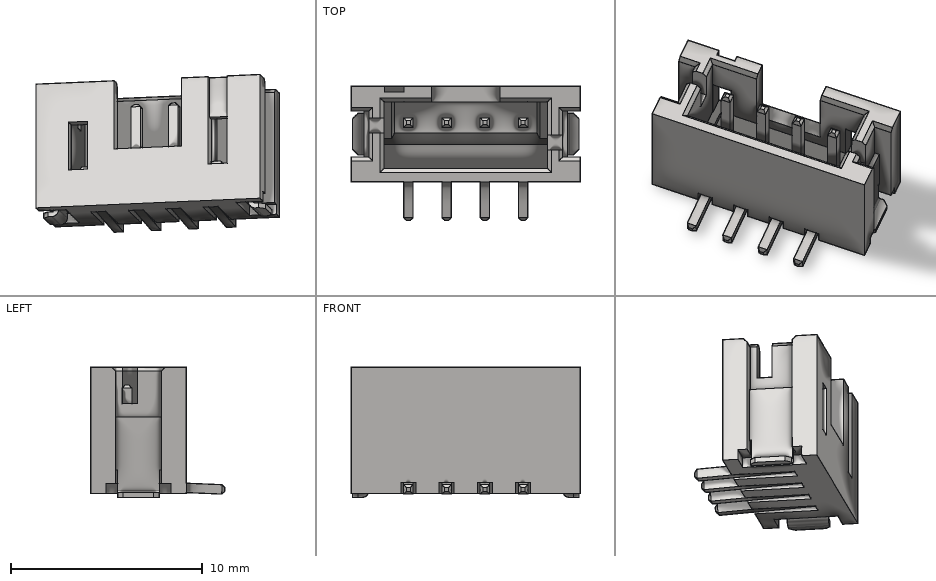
import cadquery as cq
import math


LENGTH = 11.95
DEPTH = 5.0
HEIGHT = 6.6
DEPTH_WITH_LEGS = 7.0
MID_Y = DEPTH / 2
LEAD_IN = 0.2

CAVITY_LENGTH = 8.53
CAVITY_FRONT = 0.7
CAVITY_BACK = 4.18
FLOOR_Z = 1.65

PAD_RISE = 0.6
LEDGE_RISE = PAD_RISE / 2
PAD_FRONT = 2.56
PAD_LENGTH = 7.42
PAD_FLARE = 0.15

BACK_GAP_WIDTH = 3.58
BACK_GAP_Z = 2.96
WINDOW_WIDTH = 1.02
WINDOW_X = 3.73
WINDOW_BOTTOM = FLOOR_Z + LEDGE_RISE
WINDOW_TOP = 4.49
KEY_DEPTH = 0.3

CHANNEL_WIDTH = 2.39
CHANNEL_DEPTH = 0.92
WEB_X = LENGTH / 2 - CHANNEL_DEPTH
WEB_SLOT_WIDTH = 0.79
WEB_SLOT_OFFSET = 0.44
WEB_SLOT_Z = 4.7
FOOT_RECESS_WIDTH = 3.38
FOOT_RECESS_HEIGHT = 0.53
FOOT_RECESS_DEPTH = 1.43

TAB_THICKNESS = 0.26
TAB_TOP = 3.99
TAB_SHOULDER_Z = 1.23
TAB_WIDTH = 2.19
TAB_DROP = 0.2
TAB_TIP_X = 5.92
TAB_BEND = 0.1
TAB_CORNER = 0.3

PIN_COUNT = 4
PIN_PITCH = 2.0
PIN_SIZE = 0.5
PIN_Y = 3.1
PIN_TOP = 5.66
PIN_TIP = 0.15
PIN_TIP_FLAT = 0.2
LEG_ROOT_Z = 0.3
LEG_END_Z = 0.22
LEG_END_Y = DEPTH - DEPTH_WITH_LEGS
LEG_GROOVE_WIDTH = 0.79
LEG_GROOVE_HEIGHT = 0.59


def block(x_range, y_range, z_range):
    """Axis-aligned box given by its limits."""
    size = [end - start for start, end in (x_range, y_range, z_range)]
    return cq.Workplane("XY").box(*size, centered=False).translate((x_range[0], y_range[0], z_range[0]))


def lead_in_cut(x_centre, y_centre, x_size, y_size):
    """Tapered cut that chamfers the top edges of a rectangular opening."""
    return (
        cq.Workplane("XY", origin=(x_centre, y_centre, HEIGHT))
        .rect(x_size + 2 * LEAD_IN, y_size + 2 * LEAD_IN)
        .extrude(-LEAD_IN, taper=45)
    )


def make_cavity():
    """Rectangular cavity with its chamfered mouth."""
    half = CAVITY_LENGTH / 2
    cavity_depth = CAVITY_BACK - CAVITY_FRONT
    cavity = block((-half, half), (CAVITY_FRONT, CAVITY_BACK), (FLOOR_Z, HEIGHT))
    return cavity.union(lead_in_cut(0, (CAVITY_FRONT + CAVITY_BACK) / 2, CAVITY_LENGTH, cavity_depth))


def make_pad():
    """Stepped pad with a 45 degree front slope; its ends slope down to the ledges."""
    slope_foot = PAD_FRONT - PAD_RISE
    wedge = (
        cq.Workplane("YZ")
        .moveTo(slope_foot, FLOOR_Z)
        .lineTo(PAD_FRONT, FLOOR_Z + PAD_RISE)
        .lineTo(CAVITY_BACK, FLOOR_Z + PAD_RISE)
        .lineTo(CAVITY_BACK, FLOOR_Z)
        .close()
        .extrude(CAVITY_LENGTH / 2, both=True)
    )
    top_half = PAD_LENGTH / 2
    base_half = top_half + PAD_FLARE
    ledge_z = FLOOR_Z + LEDGE_RISE
    for side in (-1, 1):
        end_cut = (
            cq.Workplane("XZ")
            .moveTo(side * base_half, ledge_z)
            .lineTo(side * top_half, FLOOR_Z + PAD_RISE)
            .lineTo(side * CAVITY_LENGTH / 2, FLOOR_Z + PAD_RISE)
            .lineTo(side * CAVITY_LENGTH / 2, ledge_z)
            .close()
            .extrude(-CAVITY_BACK)
        )
        wedge = wedge.cut(end_cut)
    return wedge


def cut_back_wall(body):
    """Central gap, one window near each end, and a key groove above the left window."""
    gap_half = BACK_GAP_WIDTH / 2
    body = body.cut(block((-gap_half, gap_half), (CAVITY_BACK - LEAD_IN, DEPTH), (BACK_GAP_Z, HEIGHT)))
    window_half = WINDOW_WIDTH / 2
    for x in (-WINDOW_X, WINDOW_X):
        x_range = (x - window_half, x + window_half)
        body = body.cut(block(x_range, (CAVITY_BACK, DEPTH), (WINDOW_BOTTOM, WINDOW_TOP)))
    key_range = (-WINDOW_X - window_half, -WINDOW_X + window_half)
    return body.cut(block(key_range, (DEPTH - KEY_DEPTH, DEPTH), (WINDOW_TOP, HEIGHT)))


def cut_end(body, side):
    """Vertical channel, recess under its walls and slot through its web at one end."""
    channel = (
        cq.Workplane("XY", origin=(side * LENGTH / 2, MID_Y, 0))
        .rect(2 * CHANNEL_DEPTH, CHANNEL_WIDTH)
        .extrude(HEIGHT)
        .union(lead_in_cut(side * LENGTH / 2, MID_Y, 2 * CHANNEL_DEPTH, CHANNEL_WIDTH))
    )
    recess = (
        cq.Workplane("XY", origin=(side * LENGTH / 2, MID_Y, 0))
        .rect(2 * FOOT_RECESS_DEPTH, FOOT_RECESS_WIDTH)
        .extrude(FOOT_RECESS_HEIGHT)
    )
    web_thickness = WEB_X - CAVITY_LENGTH / 2
    slot_x = side * (WEB_X - web_thickness / 2)
    slot_y = MID_Y - side * WEB_SLOT_OFFSET
    slot = (
        cq.Workplane("XY", origin=(slot_x, slot_y, WEB_SLOT_Z))
        .rect(web_thickness, WEB_SLOT_WIDTH)
        .extrude(HEIGHT - WEB_SLOT_Z)
    )
    return body.cut(channel).cut(recess).cut(slot)


def make_tab():
    """Bent solder tab for the +X end: upright plate against the web and an outward foot."""
    outer_x = WEB_X + TAB_THICKNESS
    foot_top = TAB_THICKNESS - TAB_DROP
    outside_bend = TAB_BEND + TAB_THICKNESS
    half_width = TAB_WIDTH / 2
    tab = (
        cq.Workplane("XZ", origin=(0, MID_Y, 0))
        .moveTo(WEB_X, TAB_TOP)
        .lineTo(WEB_X, outside_bend - TAB_DROP)
        .radiusArc((WEB_X + outside_bend, -TAB_DROP), -outside_bend)
        .lineTo(TAB_TIP_X, -TAB_DROP)
        .lineTo(TAB_TIP_X, foot_top)
        .lineTo(outer_x + TAB_BEND, foot_top)
        .radiusArc((outer_x, foot_top + TAB_BEND), TAB_BEND)
        .lineTo(outer_x, TAB_TOP)
        .close()
        .extrude(half_width, both=True)
        .edges("|Z and >X")
        .chamfer(TAB_CORNER)
    )
    wide_half = CHANNEL_WIDTH / 2
    wide_range = (MID_Y - wide_half, MID_Y + wide_half)
    return tab.union(block((WEB_X, outer_x), wide_range, (TAB_SHOULDER_Z, TAB_TOP)))


def tapered_bar(length):
    """Square bar rising from the origin along Z, ending in a tapered tip."""
    straight = length - PIN_TIP
    bar = cq.Workplane("XY").rect(PIN_SIZE, PIN_SIZE).extrude(straight)
    tip = (
        cq.Workplane("XY", origin=(0, 0, straight))
        .rect(PIN_SIZE, PIN_SIZE)
        .workplane(offset=PIN_TIP)
        .rect(PIN_TIP_FLAT, PIN_TIP_FLAT)
        .loft()
    )
    return bar.union(tip)


def make_pin():
    """L-shaped pin: upright contact and a leg that dips slightly towards the front."""
    dip = math.atan2(LEG_ROOT_Z - LEG_END_Z, -LEG_END_Y)
    elbow_z = LEG_ROOT_Z + PIN_Y * math.tan(dip)
    overlap = PIN_SIZE / 2
    leg_length = (PIN_Y - LEG_END_Y) / math.cos(dip) + overlap
    upright = tapered_bar(PIN_TOP - elbow_z).translate((0, PIN_Y, elbow_z))
    leg = (
        tapered_bar(leg_length)
        .translate((0, 0, -overlap))
        .rotate((0, 0, 0), (1, 0, 0), 90 + math.degrees(dip))
        .translate((0, PIN_Y, elbow_z))
    )
    return upright.union(leg)


body = block((-LENGTH / 2, LENGTH / 2), (0, DEPTH), (0, HEIGHT))
body = body.cut(make_cavity()).union(make_pad())
body = cut_back_wall(body)
for end in (-1, 1):
    body = cut_end(body, end)

pin = make_pin()
groove_half = LEG_GROOVE_WIDTH / 2
for index in range(PIN_COUNT):
    pin_x = (index - (PIN_COUNT - 1) / 2) * PIN_PITCH
    groove_range = (pin_x - groove_half, pin_x + groove_half)
    body = body.cut(block(groove_range, (0, PIN_Y + PIN_SIZE / 2), (0, LEG_GROOVE_HEIGHT)))
    body = body.union(pin.translate((pin_x, 0, 0)))

tab = make_tab()
result = body.union(tab).union(tab.mirror("YZ"))